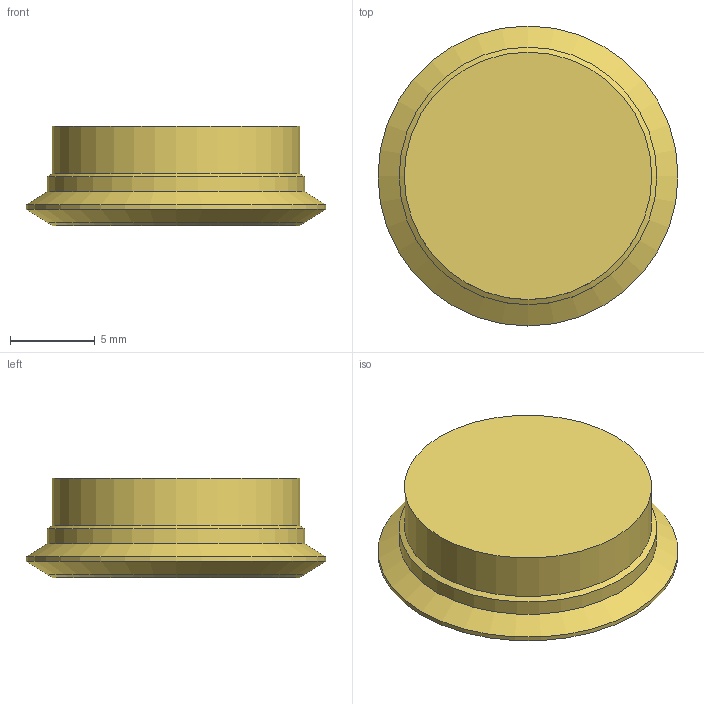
import cadquery as cq
import math

total_height = 5.85
button_radius = 14.6 / 2
base_radius = 15.2 / 2
base_height = 3.07
bevel_angle = 31.8

rim_radius = 17.7 / 2
rim_height = 0.26

bevel_slope = math.tan(math.radians(bevel_angle))
base_bevel_height = (base_radius - button_radius) * bevel_slope
ring_bevel_height = (rim_radius - base_radius) * bevel_slope

ring_bottom = base_bevel_height
rim_bottom = ring_bottom + ring_bevel_height
rim_top = rim_bottom + rim_height
ring_top = rim_top + ring_bevel_height


def revolve_about_z(profile):
    """Revolve a closed list of (radius, height) points around the Z axis."""
    return cq.Workplane("XZ").polyline(profile).close().revolve(360, (0, 0, 0), (0, 1, 0))


def make_plug():
    return revolve_about_z([
        (0, 0),
        (button_radius, 0),
        (base_radius, base_bevel_height),
        (base_radius, base_height - base_bevel_height),
        (button_radius, base_height),
        (button_radius, total_height),
        (0, total_height),
    ])


def make_flange_ring():
    return revolve_about_z([
        (base_radius, ring_bottom),
        (rim_radius, rim_bottom),
        (rim_radius, rim_top),
        (base_radius, ring_top),
    ])


plug = make_plug()
flange_ring = make_flange_ring()

result = cq.Compound.makeCompound([plug.val(), flange_ring.val()])